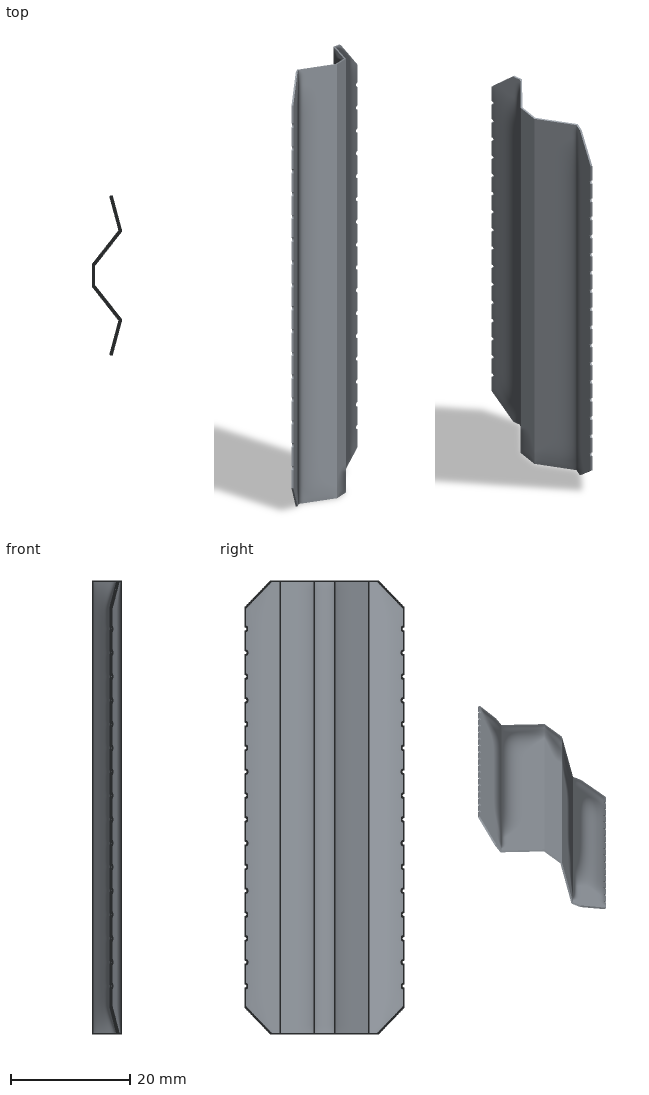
import cadquery as cq
import math

length = 76.0
width = 26.7
thickness = 0.3

web_half_width = 1.8
crest_x = 4.5
crest_y = 7.5
wing_angle = math.radians(15)

corner_chamfer = 4.5
notch_radius = 0.4
notch_row_length = 60.0
notch_count = 16
notch_pitch = notch_row_length / (notch_count - 1)


def across_sheet(point, angle_before, angle_after):
    """Carry a fold point from the -X face to the +X face along the mitre of the fold.

    The angles are the sheet directions on either side, from +Y towards +X.
    """
    mitre_angle = (angle_before + angle_after) / 2
    mitre_length = thickness / math.cos((angle_after - angle_before) / 2)
    x, y = point
    return (x + mitre_length * math.cos(mitre_angle), y - mitre_length * math.sin(mitre_angle))


def mirrored(points):
    """Reflect points across the XZ plane."""
    return [(x, -y) for x, y in points]


flank_angle = math.atan2(crest_x, crest_y - web_half_width)
tip_y = width / 2 - thickness * math.sin(wing_angle)
web_corner = (0, web_half_width)
crest = (crest_x, crest_y)
tip = (crest_x - (tip_y - crest_y) * math.tan(wing_angle), tip_y)

back_face = [web_corner, crest, tip]
front_face = [
    across_sheet(web_corner, 0, flank_angle),
    across_sheet(crest, flank_angle, -wing_angle),
    across_sheet(tip, -wing_angle, -wing_angle),
]

profile = mirrored(back_face[::-1]) + back_face + front_face[::-1] + mirrored(front_face)
strip = cq.Workplane("XY").workplane(offset=-length / 2).polyline(profile).close().extrude(length)


def wing_waste(side):
    """Corner and notch material of one wing, square to the wing; side is 1 for +Y and -1 for -Y."""
    edge_plane = cq.Plane(
        origin=(tip[0], side * tip_y, 0),
        xDir=(-math.sin(wing_angle), side * math.cos(wing_angle), 0),
        normal=(math.cos(wing_angle), side * math.sin(wing_angle), 0),
    )
    waste = cq.Workplane(edge_plane)
    for end in (-1, 1):
        end_z = end * length / 2
        chamfer_z = end_z - end * corner_chamfer
        waste = waste.polyline([(-corner_chamfer, end_z), (0, end_z), (0, chamfer_z)]).close()

    first_notch_z = -notch_row_length / 2
    notch_centres = [(0, first_notch_z + index * notch_pitch) for index in range(notch_count)]
    waste = waste.pushPoints(notch_centres).circle(notch_radius)
    return waste.extrude(2 * thickness, both=True)


result = strip.cut(wing_waste(1)).cut(wing_waste(-1))